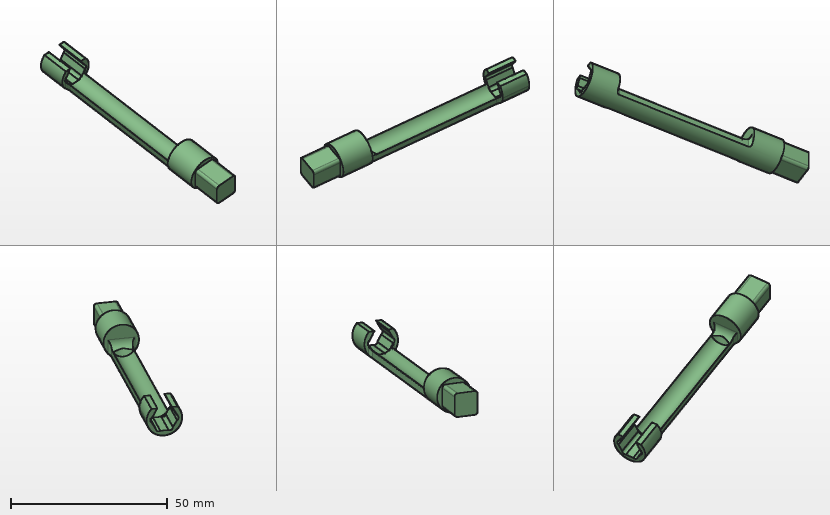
import cadquery as cq
import math

total_length = 80.0
socket_length = 10.0
collar_start = 59.0
drive_length = 10.0
body_length = total_length - drive_length

body_diameter = 11.7
body_radius = body_diameter / 2

hex_flats = 8.0
hex_corner_radius = hex_flats / 2 / math.cos(math.radians(30))
relief_radius = 1.0

shank_width = 7.0
shank_top = -2.0
neck_radius = 1.0
collar_blend_radius = 3.0

bore_radius = hex_flats / 2
bore_end = collar_start - collar_blend_radius
drill_point_angle = 122.0
drill_point_length = bore_radius / math.tan(math.radians(drill_point_angle / 2))

drive_size = 8.0
drive_corner_radius = 1.0


def make_body():
    return cq.Workplane("YZ").circle(body_radius).extrude(body_length)


def make_drive():
    drive = cq.Workplane("YZ", origin=(body_length, 0, 0)).rect(drive_size, drive_size)
    return drive.extrude(drive_length).edges("|X").fillet(drive_corner_radius)


def make_top_cut():
    """Space above the shank, blended into the socket and collar end faces."""
    gap_length = collar_start - socket_length
    block = cq.Workplane("XY").box(
        gap_length, body_diameter, body_diameter, centered=(False, True, False)
    )
    block = block.translate((socket_length, 0, shank_top))
    block = block.edges("<Z and <X").fillet(neck_radius)
    return block.edges("<Z and >X").fillet(collar_blend_radius)


def make_side_cut(side):
    """Space beside the shank; side is +1 or -1 along Y."""
    gap_length = collar_start - socket_length
    depth = body_radius
    block = cq.Workplane("XY").box(gap_length, depth, body_diameter)
    inner_edges = "|Z and <Y" if side > 0 else "|Z and >Y"
    block = block.edges(inner_edges).fillet(neck_radius)
    return block.translate(
        ((socket_length + collar_start) / 2, side * (shank_width + depth) / 2, 0)
    )


def make_bore():
    """Cylinder from the socket mouth with a conical drill point."""
    return (
        cq.Workplane("XY")
        .lineTo(0, bore_radius)
        .lineTo(bore_end, bore_radius)
        .lineTo(bore_end + drill_point_length, 0)
        .close()
        .revolve(360, (0, 0, 0), (1, 0, 0))
    )


def make_socket_cut():
    """Hexagon with corners on the Y axis, corner reliefs and the open top."""
    hexagon = cq.Workplane("YZ").polygon(6, 2 * hex_corner_radius).extrude(socket_length)
    reliefs = (
        cq.Workplane("YZ")
        .polarArray(hex_corner_radius - relief_radius, 0, 360, 6)
        .circle(relief_radius)
        .extrude(socket_length)
    )
    opening = cq.Workplane("XY", origin=(0, 0, hex_flats / 2)).box(
        socket_length, body_diameter, body_radius, centered=(False, True, False)
    )
    return hexagon.union(reliefs).union(opening)


result = make_body().cut(make_top_cut())
for side in (-1, 1):
    result = result.cut(make_side_cut(side))
result = result.cut(make_bore()).cut(make_socket_cut()).union(make_drive())